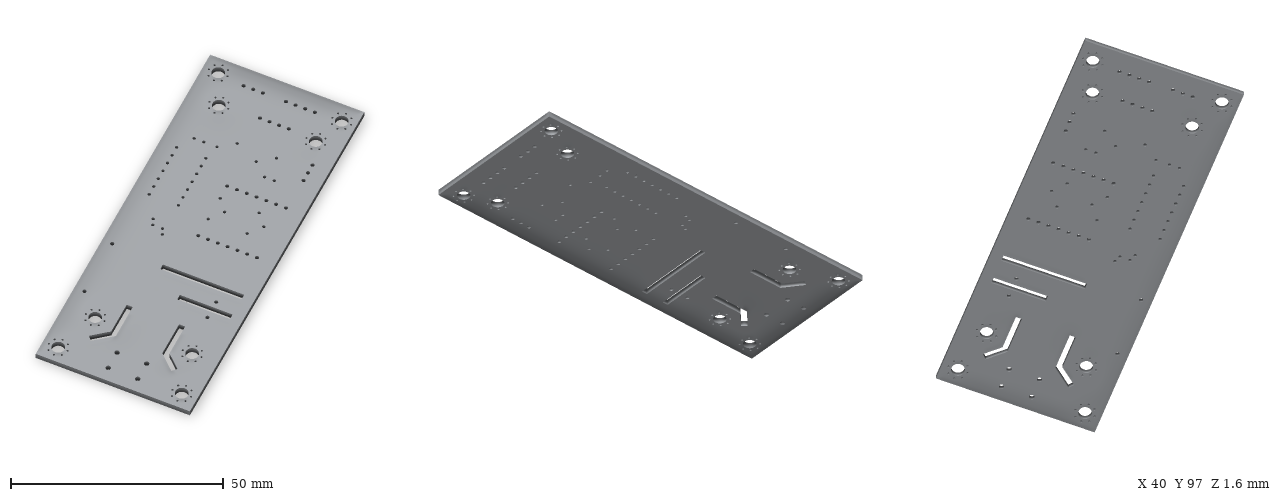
import cadquery as cq
import math

BOARD_WIDTH = 40.0
BOARD_LENGTH = 97.0
BOARD_THICKNESS = 1.6

MOUNT_DIAMETER = 3.2
VIA_DIAMETER = 0.5
SMALL_LEAD = 0.8
HEADER_LEAD = 1.0
MODULE_LEAD = 0.95
TERMINAL_LEAD = 1.3

VIA_COUNT = 8
VIA_RING_RADIUS = 2.4
OUTER_MOUNT_SPAN_X = 32.0
OUTER_MOUNT_SPAN_Y = 88.95
INNER_MOUNT_XS = (-11.8, 13.3)
INNER_MOUNT_YS = (35.9, -32.9)
OFFSET_MOUNT = (16.3, 43.8)

MOUNT_CENTERS = [
    (-OUTER_MOUNT_SPAN_X / 2, OUTER_MOUNT_SPAN_Y / 2),
    (-OUTER_MOUNT_SPAN_X / 2, -OUTER_MOUNT_SPAN_Y / 2),
    (OUTER_MOUNT_SPAN_X / 2, -OUTER_MOUNT_SPAN_Y / 2),
    OFFSET_MOUNT,
]
MOUNT_CENTERS += [(x, y) for x in INNER_MOUNT_XS for y in INNER_MOUNT_YS]

HEADER_ROW_SPAN = 7.5
LONG_HEADER_PINS = 4
SHORT_HEADER_PINS = 3
HEADER_PITCH = HEADER_ROW_SPAN / (LONG_HEADER_PINS - 1)
THREE_PIN_HEADER = (-6.5, 43.6)
FOUR_PIN_HEADER = (5.7, 43.6)
INNER_FOUR_PIN_HEADER = (2.2, 36.6)
SIDE_HEADER = (15.5, 26.8)

ROW_PINS = 7
ROW_SPAN = 15.2
ROW_PITCH = ROW_SPAN / (ROW_PINS - 1)
MODULE_CENTER_X = 7.6
MODULE_ROW_YS = (15.2, -0.9)
PACKAGE_CENTER_Y = 12.9
PACKAGE_ROW_XS = (-15.6, -8.05)

DISCRETE_LEADS = [
    (-3.2, 27.5), (7.0, 27.5),
    (-13.0, 24.6), (-10.5, 24.6), (-7.1, 24.6), (3.1, 24.6),
    (6.8, 21.3), (9.3, 21.3),
    (0, 11.3), (10.1, 11.3),
    (2.6, 8.05), (12.8, 8.05),
    (0, 4.6), (10.1, 4.6),
    (-11.7, -0.9), (-11.1, -2.5), (-8.5, -2.5), (-7.9, -4.1),
]

SLOT_SIDE_LEADS = [(12.0, -16.8), (12.0, -21.7)]
EDGE_LEADS = [(-17.4, -11.5), (-17.4, -27.0)]

TERMINAL_XS = (-2.8, 4.85)
TERMINAL_YS = (-40.1, -45.0)

SLOT_WIDTH = 1.5
SLOT_RIGHT_END = 17.1
LONG_SLOT_LEFT_END = -4.0
LONG_SLOT_Y = -12.8
SHORT_SLOT_LEFT_END = 3.4
SHORT_SLOT_Y = -19.2

BENT_SLOT_WIDTH = 1.6
BENT_SLOT_TOP = -26.4
BEND_Y = -35.4
LEFT_BENT_SLOT_X = -5.9
LEFT_BENT_SLOT_TIP = (-10.4, -39.0)
RIGHT_BENT_SLOT_X = 7.7
RIGHT_BENT_SLOT_TIP = (11.5, -39.0)


def pin_row(center, count, pitch, along_y=False):
    """Centres of a straight row of evenly spaced pins about a centre point."""
    offsets = [(i - (count - 1) / 2) * pitch for i in range(count)]
    if along_y:
        return [(center[0], center[1] + offset) for offset in offsets]
    return [(center[0] + offset, center[1]) for offset in offsets]


def via_ring(center):
    """Centres of the stitching vias evenly spaced around a mounting hole."""
    step = 2 * math.pi / VIA_COUNT
    return [
        (
            center[0] + VIA_RING_RADIUS * math.cos(i * step),
            center[1] + VIA_RING_RADIUS * math.sin(i * step),
        )
        for i in range(VIA_COUNT)
    ]


def through_holes(board, centers, diameter):
    """Drill round holes through the whole board."""
    cutter = cq.Workplane("XY").pushPoints(centers).circle(diameter / 2).extrude(BOARD_THICKNESS)
    return board.cut(cutter)


def straight_slot(board, left_end, center_y):
    """Cut a square-ended slot that runs to the common right end."""
    length = SLOT_RIGHT_END - left_end
    cutter = (
        cq.Workplane("XY")
        .center(left_end + length / 2, center_y)
        .rect(length, SLOT_WIDTH)
        .extrude(BOARD_THICKNESS)
    )
    return board.cut(cutter)


def bent_slot(board, leg_x, tip):
    """Cut a slot of constant width along a leg parallel to Y and a slanted leg."""
    half = BENT_SLOT_WIDTH / 2
    reach = math.hypot(tip[0] - leg_x, tip[1] - BEND_Y)
    ux = (tip[0] - leg_x) / reach
    uy = (tip[1] - BEND_Y) / reach
    miter = half * (1 + uy) / ux
    outline = [
        (leg_x - half, BENT_SLOT_TOP),
        (leg_x + half, BENT_SLOT_TOP),
        (leg_x + half, BEND_Y + miter),
        (tip[0] - half * uy, tip[1] + half * ux),
        (tip[0] + half * uy, tip[1] - half * ux),
        (leg_x - half, BEND_Y - miter),
    ]
    return board.cut(cq.Workplane("XY").polyline(outline).close().extrude(BOARD_THICKNESS))


board = cq.Workplane("XY").box(
    BOARD_WIDTH, BOARD_LENGTH, BOARD_THICKNESS, centered=(True, True, False)
)

board = through_holes(board, MOUNT_CENTERS, MOUNT_DIAMETER)
for mount_center in MOUNT_CENTERS:
    board = through_holes(board, via_ring(mount_center), VIA_DIAMETER)

header_pins = pin_row(THREE_PIN_HEADER, SHORT_HEADER_PINS, HEADER_PITCH)
header_pins += pin_row(FOUR_PIN_HEADER, LONG_HEADER_PINS, HEADER_PITCH)
header_pins += pin_row(INNER_FOUR_PIN_HEADER, LONG_HEADER_PINS, HEADER_PITCH)
header_pins += pin_row(SIDE_HEADER, SHORT_HEADER_PINS, HEADER_PITCH, along_y=True)
board = through_holes(board, header_pins, HEADER_LEAD)

for row_y in MODULE_ROW_YS:
    module_row = pin_row((MODULE_CENTER_X, row_y), ROW_PINS, ROW_PITCH)
    board = through_holes(board, module_row, MODULE_LEAD)

for row_x in PACKAGE_ROW_XS:
    package_row = pin_row((row_x, PACKAGE_CENTER_Y), ROW_PINS, ROW_PITCH, along_y=True)
    board = through_holes(board, package_row, SMALL_LEAD)

board = through_holes(board, DISCRETE_LEADS, SMALL_LEAD)
board = through_holes(board, SLOT_SIDE_LEADS + EDGE_LEADS, HEADER_LEAD)
terminal_pins = [(x, y) for x in TERMINAL_XS for y in TERMINAL_YS]
board = through_holes(board, terminal_pins, TERMINAL_LEAD)

board = straight_slot(board, LONG_SLOT_LEFT_END, LONG_SLOT_Y)
board = straight_slot(board, SHORT_SLOT_LEFT_END, SHORT_SLOT_Y)
board = bent_slot(board, LEFT_BENT_SLOT_X, LEFT_BENT_SLOT_TIP)
board = bent_slot(board, RIGHT_BENT_SLOT_X, RIGHT_BENT_SLOT_TIP)

result = board